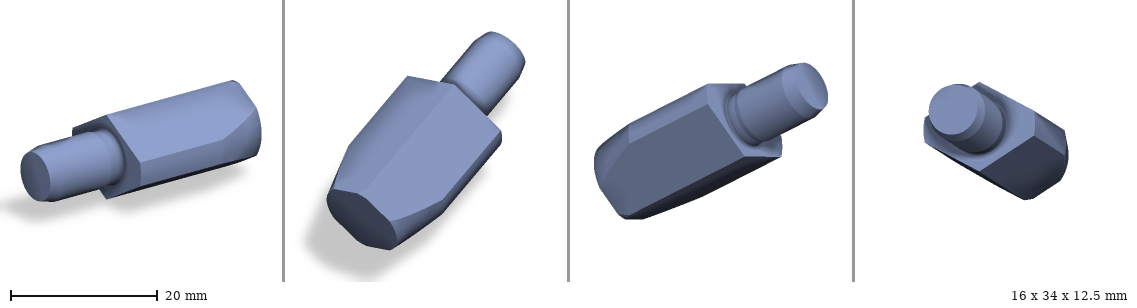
import cadquery as cq
import math


head_diameter = 16.0
head_length = 22.0
head_height = 12.51
flat_angle = 30.0
taper_length = 8.0
taper_angle = 15.0

shank_diameter = 8.0
shank_length = 12.0
tip_length = 2.0
tip_angle = 15.0

relief_diameter = 7.6
relief_width = 2.1
relief_run_out_angle = 15.0
relief_corner_radius = 0.25
face_relief_diameter = 9.6
face_relief_angle = 8.0


def tan_deg(angle):
    return math.tan(math.radians(angle))


def revolve_about_y(profile):
    return profile.close().revolve(360, (0, 0, 0), (0, 1, 0))


def make_head():
    """Tapered round bar trimmed by four flats meeting in an upper and a lower ridge."""
    radius = head_diameter / 2
    end_radius = radius - taper_length * tan_deg(taper_angle)
    round_bar = revolve_about_y(
        cq.Workplane("XY")
        .lineTo(radius, 0)
        .lineTo(radius, head_length - taper_length)
        .lineTo(end_radius, head_length)
        .lineTo(0, head_length)
    )

    ridge_z = head_height / 2
    diamond_half_width = ridge_z / tan_deg(flat_angle)
    diamond_bar = (
        cq.Workplane("XZ")
        .polyline([(diamond_half_width, 0), (0, ridge_z), (-diamond_half_width, 0), (0, -ridge_z)])
        .close()
        .extrude(-head_length)
    )
    return round_bar.intersect(diamond_bar)


def face_relief_floor(radius):
    """Y of the conical face relief at a radius."""
    return (face_relief_diameter / 2 - radius) * tan_deg(face_relief_angle)


def make_shank():
    """Round shank with a tapered tip, long enough to reach into the head."""
    radius = shank_diameter / 2
    tip_radius = radius - tip_length * tan_deg(tip_angle)
    overlap = face_relief_floor(0)
    return revolve_about_y(
        cq.Workplane("XY")
        .moveTo(0, -shank_length)
        .lineTo(tip_radius, -shank_length)
        .lineTo(radius, tip_length - shank_length)
        .lineTo(radius, overlap)
        .lineTo(0, overlap)
    )


def make_relief_groove():
    """Ring that undercuts both the shank and the shoulder, with a rounded inner corner."""
    shank_radius = shank_diameter / 2
    groove_radius = relief_diameter / 2
    run_out_length = (shank_radius - groove_radius) / tan_deg(relief_run_out_angle)

    slope = math.radians(face_relief_angle)
    arc_x = groove_radius + relief_corner_radius
    arc_y = face_relief_floor(arc_x) - relief_corner_radius / math.cos(slope)
    face_tangent = (
        arc_x + relief_corner_radius * math.sin(slope),
        arc_y + relief_corner_radius * math.cos(slope),
    )
    middle_angle = 0.75 * math.pi - slope / 2
    arc_middle = (
        arc_x + relief_corner_radius * math.cos(middle_angle),
        arc_y + relief_corner_radius * math.sin(middle_angle),
    )
    return revolve_about_y(
        cq.Workplane("XY")
        .moveTo(shank_radius, -relief_width)
        .lineTo(groove_radius, run_out_length - relief_width)
        .lineTo(groove_radius, arc_y)
        .threePointArc(arc_middle, face_tangent)
        .lineTo(face_relief_diameter / 2, 0)
        .lineTo(face_relief_diameter / 2, -relief_width)
    )


result = make_head().union(make_shank()).cut(make_relief_groove())